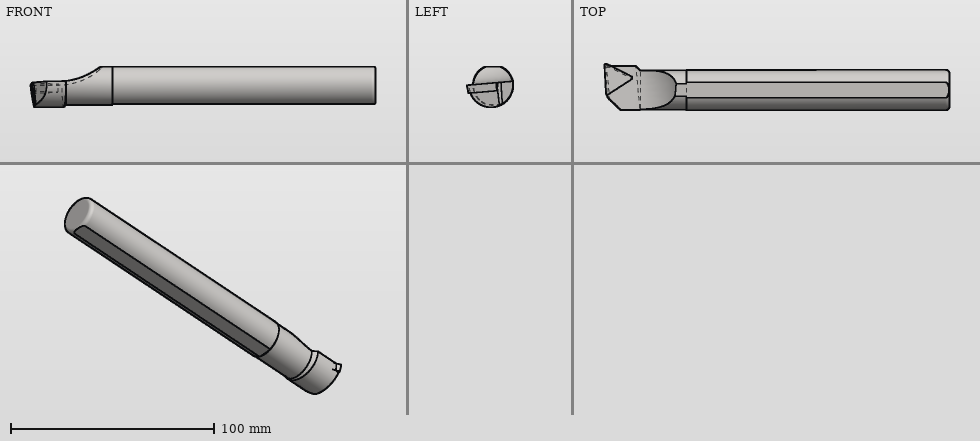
import cadquery as cq
import math

total_length = 170.0
shank_radius = 10.0
shank_flat_height = 9.25
shank_end_fillet = 2.0

neck_radius = 9.75
neck_end = 40.25
neck_step = shank_radius - neck_radius

head_radius = 10.9
head_offset = 1.0
head_end = 17.6
head_reach = head_offset + head_radius

tip_y = 13.0
rake_angle = 5.0

insert_edge = 16.5
corner_angle = 60.0
insert_thickness = 3.97
nose_radius = 0.8
insert_relief = 7.0
lead_angle = 3.0

corner_start = (0.85, -2.1)
corner_end = (1.65, -3.95)
bevel_end = (7.85, -9.9)
corner_relief = 5.8
bevel_relief = 5.0

gullet_center = (-4.7, 0.3)
gullet_flat_radius = 21.0
gullet_rim_radius = 26.0
gullet_depth = 15.0

clearance = 40.0


def tilt(shape):
    """Turn a shape built on Z = 0 onto the rake plane."""
    pivot = (0, tip_y, 0)
    return shape.rotate(pivot, (1, tip_y, 0), -rake_angle)


def make_bar():
    """Shank and neck turned about X, with the flats on top and bottom."""
    turned = (
        cq.Workplane("XY")
        .lineTo(0, neck_radius)
        .lineTo(neck_end, neck_radius)
        .lineTo(neck_end + neck_step, shank_radius)
        .lineTo(total_length, shank_radius)
        .lineTo(total_length, 0)
        .close()
        .revolve(360, (0, 0, 0), (1, 0, 0))
        .faces(">X").edges().fillet(shank_end_fillet)
    )
    block = cq.Workplane("XY").box(
        total_length, clearance, clearance, centered=(False, True, False)
    )
    top_cut = block.translate((0, 0, shank_flat_height))
    bottom_cut = block.translate((neck_end, 0, -shank_flat_height - clearance))
    return turned.cut(top_cut).cut(bottom_cut)


def make_head():
    """Offset head: round below, upright sides above its axis, with a conical back."""
    outline = (
        cq.Workplane("YZ")
        .moveTo(head_offset - head_radius, 0)
        .threePointArc((head_offset, -head_radius), (head_reach, 0))
        .lineTo(head_reach, head_radius)
        .lineTo(head_offset - head_radius, head_radius)
        .close()
        .extrude(head_end)
    )
    cone_radius = neck_radius + head_end
    cone = (
        cq.Workplane("XY")
        .lineTo(0, cone_radius)
        .lineTo(head_end, neck_radius)
        .lineTo(head_end, 0)
        .close()
        .revolve(360, (0, 0, 0), (1, 0, 0))
    )
    return outline.intersect(cone)


def make_gullet():
    """Cutter that clears the rake face and runs out through the top of the neck."""
    swing = math.acos(1 - gullet_depth / gullet_rim_radius)
    half_swing = swing / 2

    def rim_point(angle):
        return (
            gullet_flat_radius + gullet_rim_radius * math.sin(angle),
            gullet_rim_radius * (1 - math.cos(angle)),
        )

    cutter = (
        cq.Workplane("XZ")
        .lineTo(gullet_flat_radius, 0)
        .threePointArc(rim_point(half_swing), rim_point(swing))
        .lineTo(0, gullet_depth)
        .close()
        .revolve(360, (0, 0, 0), (0, 1, 0))
    )
    return tilt(cutter.translate((*gullet_center, 0)))


def make_relief_cut(start, end, relief):
    """Block outside the line from start to end, leaning inwards going down by the relief angle."""
    along = cq.Vector(end[0] - start[0], end[1] - start[1], 0).normalized()
    inward = cq.Vector(0, 0, 1).cross(along)
    origin = cq.Vector(start[0], start[1], 0) - along * clearance
    lean = clearance * math.tan(math.radians(relief))
    profile_plane = cq.Plane(origin=origin, xDir=inward, normal=along)
    block = (
        cq.Workplane(profile_plane)
        .moveTo(-lean, clearance)
        .lineTo(lean, -clearance)
        .lineTo(-clearance, -clearance)
        .lineTo(-clearance, clearance)
        .close()
        .extrude(2 * clearance)
    )
    return tilt(block)


def corner_center(distance, angle):
    """Centre of a rounded corner, reached from the nose centre at an angle turned from -Y towards +X."""
    turn = math.radians(angle)
    return (
        nose_radius + distance * math.sin(turn),
        tip_y - nose_radius - distance * math.cos(turn),
    )


def make_insert():
    """Triangular insert with rounded corners and relieved sides, its top on the rake plane."""
    center_spacing = insert_edge - 2 * nose_radius / math.tan(math.radians(corner_angle / 2))
    corners = [
        corner_center(0, 0),
        corner_center(center_spacing, lead_angle),
        corner_center(center_spacing, lead_angle + corner_angle),
    ]
    insert = (
        cq.Workplane("XY")
        .polyline(corners).close()
        .offset2D(nose_radius)
        .extrude(-insert_thickness, taper=insert_relief)
    )
    return tilt(insert)


def make_holder(insert):
    """Bar and head as one solid, relieved at the front and pocketed for the insert."""
    lead = math.radians(lead_angle)
    front_start = (
        nose_radius - nose_radius * math.cos(lead),
        tip_y - nose_radius - nose_radius * math.sin(lead),
    )
    front_end = (
        front_start[0] + insert_edge * math.sin(lead),
        front_start[1] - insert_edge * math.cos(lead),
    )
    holder = make_bar().union(make_head()).cut(make_gullet())
    holder = holder.cut(make_relief_cut(front_start, front_end, insert_relief))
    holder = holder.cut(make_relief_cut(corner_start, corner_end, corner_relief))
    holder = holder.cut(make_relief_cut(corner_end, bevel_end, bevel_relief))
    return holder.cut(insert)


insert = make_insert()
holder = make_holder(insert)

result = cq.Compound.makeCompound([holder.solids().val(), insert.val()])